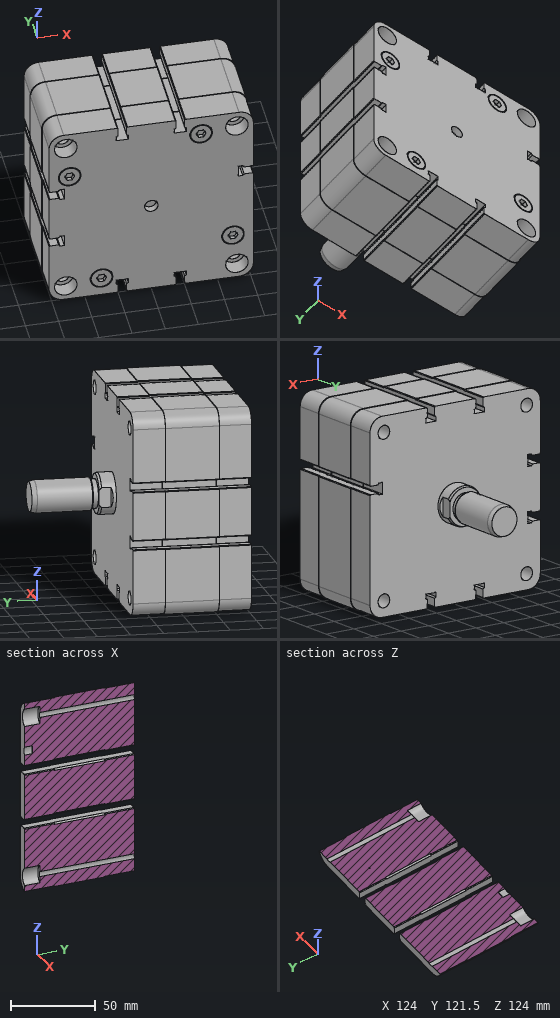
import cadquery as cq
import math

barrel_width = 124.0
cap_width = 123.3
total_length = 121.5
body_length = 71.4
cap_length = 19.5
corner_center = 52.8
front_y = -total_length / 2
back_y = front_y + body_length
barrel_length = body_length - 2 * cap_length

slot_offset = 17.5
slot_depth = 9.2
slot_neck_width = 5.2
slot_base_width = 7.2
slot_base_height = 2.6
slot_taper = 0.9
mouth_bevel = 0.5
SLOTS = (
    (0, slot_offset),
    (0, -slot_offset),
    (90, -slot_offset),
    (180, slot_offset),
    (180, -slot_offset),
    (270, slot_offset),
    (270, -slot_offset),
)

mount_offset = 51.6
mount_hole_diameter = 8.4
counterbore_diameter = 13.5
counterbore_depth = 9.9

screw_long_offset = 49.2
screw_short_offset = 30.0
screw_pocket_diameter = 13.5
screw_head_diameter = 12.5
screw_gap_depth = 5.0
socket_across_corners = 5.8
socket_depth = 2.5

center_hole_diameter = 8.0
center_hole_depth = 4.5

collar_diameter = 25.0
collar_length = 10.0
collar_chamfer_depth = 0.6
collar_chamfer_length = 1.5
flat_width = 22.0
flat_start = 1.9
flat_runout = 1.1
neck_diameter = 17.5
neck_length = 3.1
thread_diameter = 20.0
thread_back_bevel = 0.6
tip_diameter = 18.1
tip_bevel_length = 3.1


def plane_at(y):
    """Plane across the axis at the given y, facing +Y, with local x along -X and local y along +Z."""
    return cq.Workplane(cq.Plane(origin=(0, y, 0), xDir=(-1, 0, 0), normal=(0, 1, 0)))


def slot_cutter(face, side_angle, offset):
    """T-slot in a top face at z = face, centred on x = offset, then turned about Y to its own side."""
    floor = face - slot_depth
    neck = slot_neck_width / 2
    base = slot_base_width / 2
    half = [
        (base, floor),
        (base, floor + slot_base_height),
        (neck, floor + slot_base_height + slot_taper),
        (neck, face - mouth_bevel),
        (neck + mouth_bevel, face),
    ]
    mirrored = [(-x, z) for x, z in reversed(half)]
    outline = [(x - offset, z) for x, z in half + mirrored]
    cutter = plane_at(front_y).polyline(outline).close().extrude(body_length)
    return cutter.rotate((0, 0, 0), (0, 1, 0), side_angle)


def slotted_block(width, y_start, length):
    """Square section with rounded corners and the T-slots cut to the same depth below its faces."""
    radius = width / 2 - corner_center
    block = plane_at(y_start).rect(width, width).extrude(length).edges("|Y").fillet(radius)
    for side_angle, offset in SLOTS:
        block = block.cut(slot_cutter(width / 2, side_angle, offset))
    return block


def make_body():
    """Barrel between two slightly narrower end caps."""
    front_cap = slotted_block(cap_width, front_y, cap_length)
    barrel = slotted_block(barrel_width, front_y + cap_length, barrel_length)
    back_cap = slotted_block(cap_width, back_y - cap_length, cap_length)
    return front_cap.union(barrel).union(back_cap)


def mounting_holes():
    """Through holes at the four corners, counterbored from the front face."""
    pitch = 2 * mount_offset
    centers = plane_at(front_y).rect(pitch, pitch, forConstruction=True).vertices()
    through_holes = centers.circle(mount_hole_diameter / 2).extrude(body_length)
    counterbores = centers.circle(counterbore_diameter / 2).extrude(counterbore_depth)
    return through_holes.union(counterbores)


def screw_cutter(side_angle):
    """Ring gap round a flush screw head, with its hexagon socket."""
    angle = math.radians(side_angle)
    x = screw_short_offset * math.cos(angle) + screw_long_offset * math.sin(angle)
    z = screw_long_offset * math.cos(angle) - screw_short_offset * math.sin(angle)
    base = plane_at(front_y).center(-x, z)
    gap = base.circle(screw_pocket_diameter / 2).circle(screw_head_diameter / 2).extrude(screw_gap_depth)
    return gap.union(base.polygon(6, socket_across_corners).extrude(socket_depth))


def wrench_flat_cutter():
    """Material beside the +X wrench flat, which runs out on a slope towards the body."""
    flat = flat_width / 2
    rim = collar_diameter / 2
    flat_end = back_y + collar_length
    outline = [
        (rim, back_y + flat_start),
        (flat, back_y + flat_start + flat_runout),
        (flat, flat_end),
        (rim, flat_end),
    ]
    return cq.Workplane("XY").polyline(outline).close().extrude(collar_diameter / 2, both=True)


def make_rod():
    """Collar with two wrench flats, undercut and thread blank, on the axis."""
    collar_end = back_y + collar_length
    collar_radius = collar_diameter / 2
    thread_start = collar_end + neck_length
    thread_radius = thread_diameter / 2
    tip_y = total_length / 2
    profile = [
        (0, back_y),
        (collar_radius, back_y),
        (collar_radius, collar_end - collar_chamfer_length),
        (collar_radius - collar_chamfer_depth, collar_end),
        (neck_diameter / 2, collar_end),
        (neck_diameter / 2, thread_start),
        (thread_radius - thread_back_bevel, thread_start),
        (thread_radius, thread_start + thread_back_bevel),
        (thread_radius, tip_y - tip_bevel_length),
        (tip_diameter / 2, tip_y),
        (0, tip_y),
    ]
    rod = cq.Workplane("XY").polyline(profile).close().revolve(360, (0, 0, 0), (0, 1, 0))
    flat = wrench_flat_cutter()
    return rod.cut(flat).cut(flat.mirror("YZ"))


body = make_body().cut(mounting_holes())
for screw_side in (0, 90, 180, 270):
    body = body.cut(screw_cutter(screw_side))
body = body.cut(plane_at(front_y).circle(center_hole_diameter / 2).extrude(center_hole_depth))
result = body.union(make_rod())